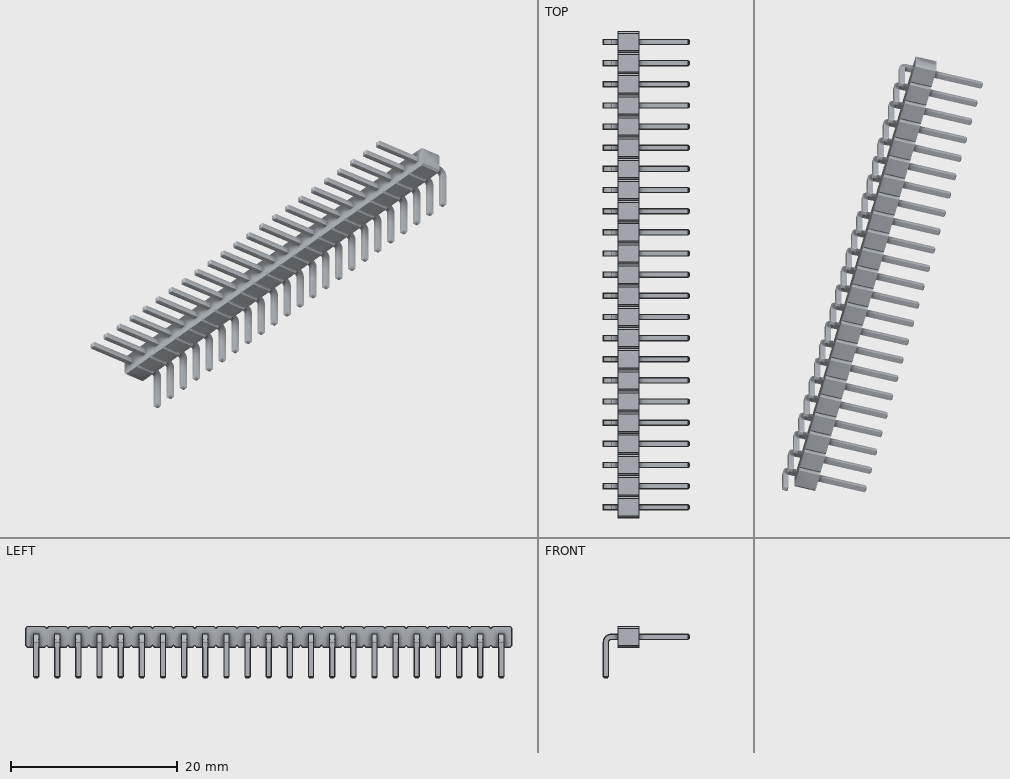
import cadquery as cq


PIN_COUNT = 23
ROW_LENGTH = 58.4
PITCH = ROW_LENGTH / PIN_COUNT

BODY_WIDTH = 2.55
BODY_HEIGHT = 2.5
BLOCK_CHAMFER = 0.25

OVERALL_X = 10.35
OVERALL_Z = 6.2
PIN_SIZE = 0.65
BEND_OUTER_RADIUS = 1.0
BEND_INNER_RADIUS = BEND_OUTER_RADIUS - PIN_SIZE
TIP_CHAMFER = 0.145

BODY_START_X = 1.75
TAIL_END_Z = BODY_HEIGHT / 2 - OVERALL_Z


def make_block():
    """One body block, chamfered along its four X edges so neighbours meet in V-grooves."""
    block = cq.Workplane("XY").box(BODY_WIDTH, PITCH, BODY_HEIGHT)
    block = block.edges("|X").chamfer(BLOCK_CHAMFER)
    return block.translate((BODY_START_X + BODY_WIDTH / 2, 0, 0))


def make_pin():
    """One square pin with a rounded right-angle bend and both ends chamfered on all four sides."""
    half = PIN_SIZE / 2
    pin = (
        cq.Workplane("XZ")
        .moveTo(0, TAIL_END_Z)
        .lineTo(0, half - BEND_OUTER_RADIUS)
        .radiusArc((BEND_OUTER_RADIUS, half), BEND_OUTER_RADIUS)
        .lineTo(OVERALL_X, half)
        .lineTo(OVERALL_X, -half)
        .lineTo(BEND_OUTER_RADIUS, -half)
        .radiusArc((PIN_SIZE, -half - BEND_INNER_RADIUS), -BEND_INNER_RADIUS)
        .lineTo(PIN_SIZE, TAIL_END_Z)
        .close()
        .extrude(half, both=True)
    )
    return pin.faces(">X or <Z").chamfer(TIP_CHAMFER)


def make_header():
    """Join one block and one pin at every pitch position along Y."""
    unit = make_block().union(make_pin()).val()
    first_y = -(PIN_COUNT - 1) * PITCH / 2
    units = [unit.translate(cq.Vector(0, first_y + i * PITCH, 0)) for i in range(PIN_COUNT)]
    return cq.Workplane(units[0].fuse(*units[1:]).clean())


result = make_header()